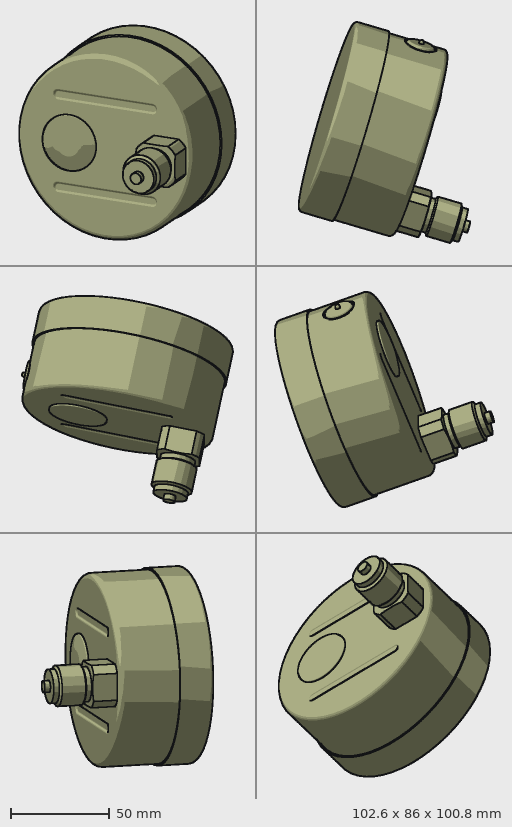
import cadquery as cq
import math


case_diameter = 99.0
case_edge_radius = 2.8
bezel_diameter = 100.8
bezel_length = 18.0
bezel_edge_radius = 2.0
overall_depth = 50.0

plug_x = -20.0
plug_diameter = 30.0
plug_rim_height = 1.0
plug_rim_edge_radius = 0.4
plug_height = 2.5
plug_corner_diameter = 15.3
plug_blend_length = 1.0

groove_offset_z = 24.9
groove_center_distance = 53.0
groove_width = 4.2
groove_mouth_radius = 1.05
groove_floor_radius = 0.65
groove_wall_angle = 60.0

stem_x = 34.5
wrench_flats = 22.0
wrench_corner_diameter = 26.0
wrench_face_diameter = 22.5
wrench_chamfer_angle = 15.0
wrench_length = 13.0
neck_diameter = 18.0
neck_end = 15.7
thread_diameter = 20.96
thread_chamfer_angle = 30.0
thread_end = 30.0
spigot_diameter = 17.5
spigot_end = 33.0
pin_diameter = 6.0
stem_length = 36.0

vent_y = 15.0
vent_recess_diameter = 17.0
vent_recess_floor = 48.5
vent_button_diameter = 15.4
vent_button_top = 50.3
vent_button_edge_radius = 1.5
vent_nub_diameter = 2.5
vent_nub_top = 52.2


def chamfer_length(large_diameter, small_diameter, angle):
    """Axial length of a cone whose face is tilted by angle from the end plane."""
    return (large_diameter - small_diameter) / 2 * math.tan(math.radians(angle))


def revolve_about_y(profile, axis_x):
    """Turn an XY profile drawn with radius as X, then move its axis to axis_x."""
    return profile.close().revolve(360, (0, 0, 0), (0, 1, 0)).translate((axis_x, 0, 0))


def make_case():
    body = cq.Workplane("XZ").circle(case_diameter / 2).extrude(-overall_depth)
    body = body.faces("<Y").edges().fillet(case_edge_radius)
    bezel = (
        cq.Workplane("XZ", origin=(0, overall_depth - bezel_length, 0))
        .circle(bezel_diameter / 2)
        .extrude(-bezel_length)
        .union(body)
    )
    return bezel.faces(">Y").edges().fillet(bezel_edge_radius)


def make_rear_plug():
    rim_radius = plug_diameter / 2
    corner_radius = plug_corner_diameter / 2
    flat_radius = corner_radius - plug_blend_length
    dome_height = plug_height - plug_rim_height
    cone_angle = math.atan2(dome_height, rim_radius - corner_radius)
    cone_inner_radius = corner_radius + plug_blend_length * math.cos(cone_angle)
    cone_inner_height = plug_height - plug_blend_length * math.sin(cone_angle)
    edge_length = plug_rim_edge_radius * math.tan((math.pi / 2 - cone_angle) / 2)
    cone_outer_radius = rim_radius - edge_length * math.cos(cone_angle)
    cone_outer_height = plug_rim_height + edge_length * math.sin(cone_angle)
    profile = (
        cq.Workplane("XY")
        .lineTo(0, -plug_height)
        .lineTo(flat_radius, -plug_height)
        .tangentArcPoint((cone_inner_radius, -cone_inner_height), relative=False)
        .lineTo(cone_outer_radius, -cone_outer_height)
        .tangentArcPoint((rim_radius, edge_length - plug_rim_height), relative=False)
        .lineTo(rim_radius, 0)
    )
    return revolve_about_y(profile, plug_x)


def make_wrench_body():
    square = (
        cq.Workplane("XZ", origin=(stem_x, 0, 0))
        .rect(wrench_flats, wrench_flats)
        .extrude(wrench_length)
    )
    corner_radius = wrench_corner_diameter / 2
    chamfer = chamfer_length(wrench_corner_diameter, wrench_face_diameter, wrench_chamfer_angle)
    envelope = (
        cq.Workplane("XY")
        .lineTo(corner_radius, 0)
        .lineTo(corner_radius, chamfer - wrench_length)
        .lineTo(wrench_face_diameter / 2, -wrench_length)
        .lineTo(0, -wrench_length)
    )
    return square.intersect(revolve_about_y(envelope, stem_x))


def make_stem_end():
    neck_radius = neck_diameter / 2
    thread_radius = thread_diameter / 2
    spigot_radius = spigot_diameter / 2
    pin_radius = pin_diameter / 2
    thread_start = neck_end + chamfer_length(thread_diameter, neck_diameter, thread_chamfer_angle)
    thread_full_end = thread_end - chamfer_length(
        thread_diameter, spigot_diameter, thread_chamfer_angle
    )
    profile = (
        cq.Workplane("XY")
        .lineTo(neck_radius, 0)
        .lineTo(neck_radius, -neck_end)
        .lineTo(thread_radius, -thread_start)
        .lineTo(thread_radius, -thread_full_end)
        .lineTo(spigot_radius, -thread_end)
        .lineTo(spigot_radius, -spigot_end)
        .lineTo(pin_radius, -spigot_end)
        .lineTo(pin_radius, -stem_length)
        .lineTo(0, -stem_length)
    )
    return revolve_about_y(profile, stem_x)


def groove_half_profile(plane):
    """Half section with its centerline on the plane's Y.

    A convex mouth radius and a concave floor radius meet tangentially at the wall angle.
    """
    wall_angle = math.radians(groove_wall_angle)
    wall = groove_width / 2
    mouth = wall + groove_mouth_radius * math.sin(wall_angle)
    floor = wall - groove_floor_radius * math.sin(wall_angle)
    wall_depth = groove_mouth_radius * (1 - math.cos(wall_angle))
    floor_depth = wall_depth + groove_floor_radius * (1 - math.cos(wall_angle))
    return (
        cq.Workplane(plane)
        .lineTo(mouth, 0)
        .radiusArc((wall, wall_depth), groove_mouth_radius)
        .radiusArc((floor, floor_depth), -groove_floor_radius)
        .lineTo(0, floor_depth)
    )


def make_groove_cutter(z):
    half_length = groove_center_distance / 2
    section = cq.Plane(origin=(half_length, 0, 0), xDir=(0, 0, 1), normal=(-1, 0, 0))
    half_trough = groove_half_profile(section).close().extrude(groove_center_distance)
    cutter = half_trough.union(half_trough.mirror("XY"))
    for end_x in (-half_length, half_length):
        cutter = cutter.union(revolve_about_y(groove_half_profile("XY"), end_x))
    return cutter.translate((0, 0, z))


def side_cylinder(diameter, inner_x, outer_x):
    """Cylinder along -X on the vent axis, between two distances from the case axis."""
    return (
        cq.Workplane("YZ", origin=(-inner_x, vent_y, 0))
        .circle(diameter / 2)
        .extrude(inner_x - outer_x)
    )


def add_vent(body):
    recess = side_cylinder(vent_recess_diameter, vent_recess_floor, bezel_diameter / 2)
    button = side_cylinder(vent_button_diameter, vent_recess_floor, vent_button_top)
    button = button.faces("<X").edges().fillet(vent_button_edge_radius)
    nub_radius = vent_nub_diameter / 2
    nub_dome_center = vent_nub_top - nub_radius
    nub = side_cylinder(vent_nub_diameter, vent_recess_floor, nub_dome_center)
    dome = cq.Workplane("XY").sphere(nub_radius).translate((-nub_dome_center, vent_y, 0))
    return body.cut(recess).union(button).union(nub).union(dome)


result = add_vent(make_case())
for groove_z in (groove_offset_z, -groove_offset_z):
    result = result.cut(make_groove_cutter(groove_z))
for rear_feature in (make_rear_plug(), make_wrench_body(), make_stem_end()):
    result = result.union(rear_feature)